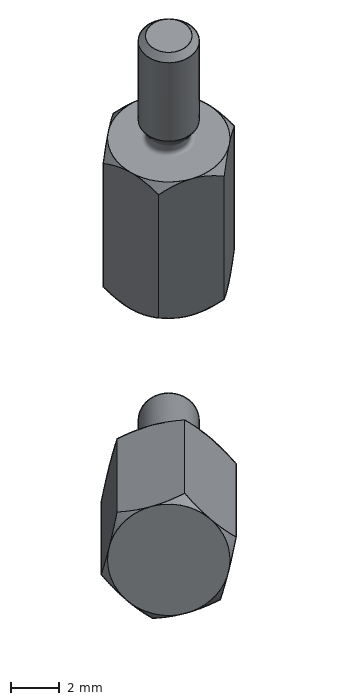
import cadquery as cq
import math

across_flats = 5.0
across_corners = across_flats / math.cos(math.radians(30))
body_height = 8.0
corner_chamfer = (across_corners - across_flats) / 2

stud_diameter = 2.5
stud_length = 6.0
tip_chamfer = 0.3

undercut_diameter = 1.8
undercut_length = 1.1
undercut_fillet = 0.2
undercut_half_angle = math.radians(30)


def make_hex_body():
    """Hexagonal prism along Z with its corners bevelled at both ends."""
    prism = cq.Workplane("XY").polygon(6, across_corners).extrude(body_height)
    bevelled_round = (
        cq.Workplane("XY")
        .circle(across_corners / 2)
        .extrude(body_height)
        .edges("%CIRCLE")
        .chamfer(corner_chamfer)
    )
    return prism.intersect(bevelled_round)


def make_stud():
    """Revolved stud: filleted undercut, run-out cone, plain shank and chamfered tip."""
    stud_radius = stud_diameter / 2
    neck_radius = undercut_diameter / 2
    base_z = body_height
    tip_z = body_height + stud_length
    cone_top_z = base_z + undercut_length
    cone_bottom_z = cone_top_z - (stud_radius - neck_radius) / math.tan(undercut_half_angle)

    fillet_center_r = neck_radius + undercut_fillet
    foot_center_z = base_z + undercut_fillet
    foot_mid_offset = undercut_fillet * math.sqrt(0.5)

    blend_start_z = cone_bottom_z - undercut_fillet * math.tan(undercut_half_angle / 2)

    def blend_point(angle):
        return (
            fillet_center_r - undercut_fillet * math.cos(angle),
            blend_start_z + undercut_fillet * math.sin(angle),
        )

    profile = (
        cq.Workplane("XZ")
        .moveTo(0, base_z)
        .lineTo(fillet_center_r, base_z)
        .threePointArc(
            (fillet_center_r - foot_mid_offset, foot_center_z - foot_mid_offset),
            (neck_radius, foot_center_z),
        )
        .lineTo(neck_radius, blend_start_z)
        .threePointArc(blend_point(undercut_half_angle / 2), blend_point(undercut_half_angle))
        .lineTo(stud_radius, cone_top_z)
        .lineTo(stud_radius, tip_z - tip_chamfer)
        .lineTo(stud_radius - tip_chamfer, tip_z)
        .lineTo(0, tip_z)
        .close()
    )
    return profile.revolve(360, (0, 0, 0), (0, 1, 0))


result = make_hex_body().union(make_stud())